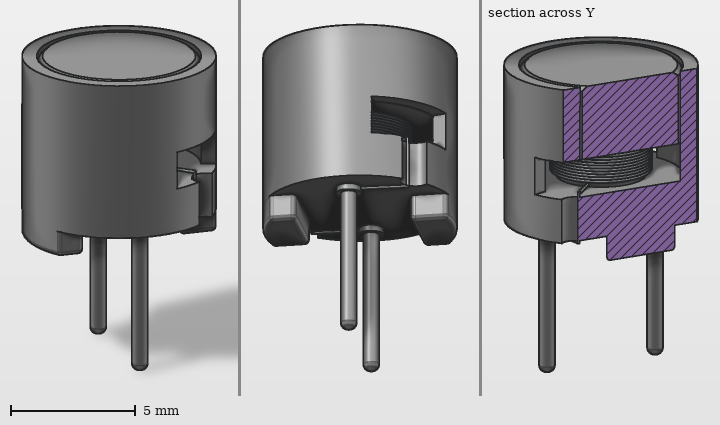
import cadquery as cq
import math


shield_diameter = 7.8
shield_bore = 6.6
shield_height = 6.44
core_diameter = 6.5
core_edge_chamfer = 0.18
overall_height = 12.5

wire_diameter = 0.12
wire_radius = wire_diameter / 2
post_diameter = 3.6
winding_diameter = 4.12
turn_count = 11
winding_height = turn_count * wire_diameter

window_top = -3.05
window_height = 1.55
window_bottom = window_top - window_height
winding_bottom = window_top - winding_height
window_half_angle = 27.7
window_direction = 225

groove_radius = 0.6

pin_diameter = 0.65
pin_tip_diameter = 0.05
pin_offset = 2.5
collar_diameter = 1
collar_height = 0.25

foot_height = 1.05
foot_left_x = -1.11
foot_right_x = 2.1
foot_inner_y = 2.25
foot_fillet = 0.2

shield_radius = shield_diameter / 2
half_turns = (0, 180)


def cylinder(diameter, top, height):
    """Vertical cylinder on the Z axis, hanging down from the given top."""
    return cq.Workplane("XY").workplane(offset=top).circle(diameter / 2).extrude(-height)


def polar(radius, degrees):
    """Point in the XY plane at the given radius and direction."""
    angle = math.radians(degrees)
    return (radius * math.cos(angle), radius * math.sin(angle))


def turned(shape, degrees):
    """Shape turned about the Z axis."""
    return shape.rotate((0, 0, 0), (0, 0, 1), degrees)


def make_window():
    """Opening with radial side walls, reaching from the axis past the shield."""
    reach = 2 * shield_radius
    return (
        cq.Workplane("XY")
        .workplane(offset=window_bottom)
        .polyline([
            (0, 0),
            polar(reach, window_direction - window_half_angle),
            polar(reach, window_direction + window_half_angle),
        ])
        .close()
        .extrude(window_height)
    )


def make_winding():
    """Post covered by stacked wire turns; the foot of the post stays bare."""
    turn_radius = winding_diameter / 2 - wire_radius
    winding = cylinder(2 * turn_radius, window_top, winding_height)
    winding = winding.union(cylinder(post_diameter, window_top, window_height))
    for turn in range(turn_count):
        ring = (
            cq.Workplane("XZ")
            .center(turn_radius, window_top - (turn + 0.5) * wire_diameter)
            .circle(wire_radius)
            .revolve(360, (-turn_radius, 0), (-turn_radius, 1))
        )
        winding = winding.union(ring)
    return winding


def make_foot():
    """Foot on the -Y side, trimmed to the shield outline; its left end clears the wire groove."""
    foot_block = (
        cq.Workplane("XY")
        .box(foot_right_x - foot_left_x, shield_radius, overall_height, centered=False)
        .translate((foot_left_x, -foot_inner_y - shield_radius, -overall_height))
    )
    return (
        cylinder(shield_diameter, -shield_height, foot_height)
        .intersect(foot_block)
        .edges("|Z")
        .fillet(foot_fillet)
        .faces("<Z")
        .edges()
        .fillet(foot_fillet)
    )


def make_pin():
    """Round-tipped pin with a collar under the body, on the -X side."""
    pin = cylinder(pin_diameter, -shield_height, overall_height - shield_height)
    pin = pin.faces("<Z").edges().fillet((pin_diameter - pin_tip_diameter) / 2)
    collar = cylinder(collar_diameter, -shield_height, collar_height)
    return pin.union(collar).translate((-pin_offset, 0, 0))


def make_lead():
    """Wire end: out from below the last turn, down the groove and under the body to the pin."""
    groove_x, groove_y = polar(shield_radius - groove_radius + wire_radius, window_direction)
    winding_x, winding_y = polar(winding_diameter / 2, window_direction)
    upper_z = winding_bottom - wire_radius
    lower_z = -shield_height - wire_radius
    corners = [
        cq.Vector(winding_x, winding_y, upper_z),
        cq.Vector(groove_x, groove_y, upper_z),
        cq.Vector(groove_x, groove_y, lower_z),
        cq.Vector(-pin_offset, 0, lower_z),
    ]
    lead = cq.Workplane("XY")
    for start, end in zip(corners, corners[1:]):
        run = end - start
        lead = lead.union(cq.Workplane(cq.Solid.makeCylinder(wire_radius, run.Length, start, run)))
    for corner in corners[1:-1]:
        lead = lead.union(cq.Workplane("XY").sphere(wire_radius).translate(corner.toTuple()))
    return lead


core_flange = cylinder(core_diameter, 0, -window_top).faces(">Z").chamfer(core_edge_chamfer)
body = cylinder(shield_diameter, 0, shield_height)
body = body.cut(cylinder(shield_bore, 0, -window_bottom)).union(core_flange)

groove = cylinder(2 * groove_radius, window_bottom, shield_height + window_bottom)
groove = groove.translate((*polar(shield_radius, window_direction), 0))
opening = make_window().union(groove)
for angle in half_turns:
    body = body.cut(turned(opening, angle))

body = body.union(make_winding())
fittings = make_foot().union(make_pin()).union(make_lead())
for angle in half_turns:
    body = body.union(turned(fittings, angle))

result = body.clean()